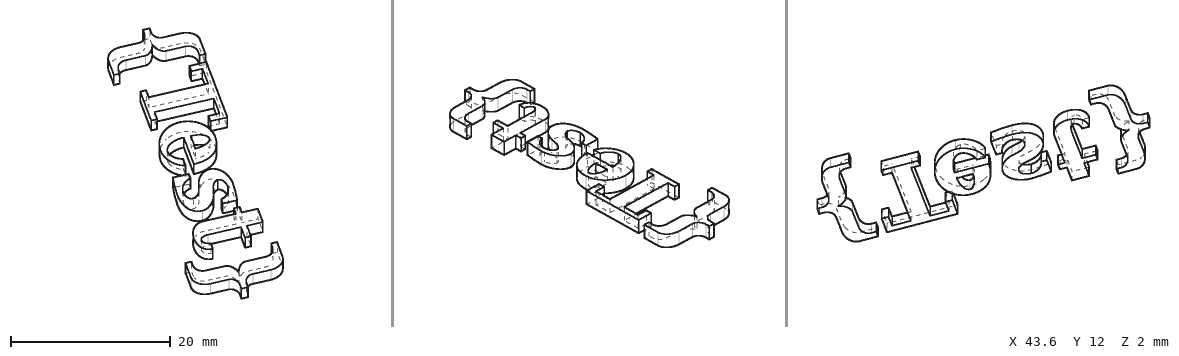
import cadquery as cq


TOTAL_LENGTH = 43.55
THICKNESS = 2.0

BAR = 0.8
CAP_HEIGHT = 9.32
X_HEIGHT = 6.7
OVERSHOOT = 0.25
ROUND_TOP = X_HEIGHT + OVERSHOOT
ROUND_BOTTOM = -OVERSHOOT
INNER_TOP = ROUND_TOP - BAR
INNER_BOTTOM = 0.55
TAIL_HEIGHT = 2.1

T_LEFT = 7.25
E_LEFT = 15.6
S_LEFT = 23.9
SMALL_T_LEFT = 30.85

ELLIPSE_FULLNESS = 0.55
BROAD_FULLNESS = 0.63


def round_turn(path, start, corner, end, fullness):
    """Add a curve from start to end, tangent at both to the lines that meet at corner."""

    def toward_corner(point):
        return tuple(p + fullness * (c - p) for p, c in zip(point, corner))

    return path.bezier([start, toward_corner(start), toward_corner(end), end])


def turn(corner, end, fullness=ELLIPSE_FULLNESS):
    """Describe a round turn for outline()."""
    return {"corner": corner, "end": end, "fullness": fullness}


def outline(left, first, steps):
    """Close an outline measured from the letter's left edge.

    A step is one point for a straight edge, or what turn() returns for a round turn.
    """

    def placed(point):
        return (left + point[0], point[1])

    here = placed(first)
    path = cq.Workplane("XY").moveTo(*here)
    for step in steps:
        if isinstance(step, dict):
            end = placed(step["end"])
            path = round_turn(path, here, placed(step["corner"]), end, step["fullness"])
        else:
            end = placed(step)
            path = path.lineTo(*end)
        here = end
    return path.close()


def plate(closed_outline):
    return closed_outline.extrude(THICKNESS)


def opening_brace():
    height = 12.0
    width = 5.95
    top = 9.6
    middle_y = top - height / 2
    stem_left = 1.87
    stem_right = 4.1
    tip_half_height = 0.45
    tip_straight = 0.65
    tip_flare_end = 1.55
    notch_end = 2.65
    notch_corner = 0.35
    notch_start = 1.35
    outer_turn_x, outer_turn_y = 1.65, 2.05
    inner_turn_x, inner_turn_y = 1.2, 1.3

    arm_top = height / 2
    arm_bottom = arm_top - BAR
    upper_half = plate(outline(0, (0, 0), [
        (0, tip_half_height),
        (tip_straight, tip_half_height),
        turn((stem_left, tip_half_height), (stem_left, tip_flare_end)),
        (stem_left, arm_top - outer_turn_y),
        turn((stem_left, arm_top), (stem_left + outer_turn_x, arm_top)),
        (width, arm_top),
        (width, arm_bottom),
        (stem_right + inner_turn_x, arm_bottom),
        turn((stem_right, arm_bottom), (stem_right, arm_bottom - inner_turn_y)),
        (stem_right, notch_start),
        turn((stem_right, notch_corner), (notch_end, 0)),
    ]))
    whole = upper_half.union(upper_half.mirror("XZ")).clean()
    return whole.translate((0, middle_y, 0))


def closing_brace():
    return opening_brace().mirror("YZ").translate((TOTAL_LENGTH, 0, 0))


def capital_t():
    width = 9.32
    middle = width / 2
    stem_half = 1.25
    foot_half = 2.45
    serif_width = 0.9
    serif_bottom = 7.1
    bar_bottom = CAP_HEIGHT - BAR
    right_half = [
        (foot_half, 0),
        (foot_half, BAR),
        (stem_half, BAR),
        (stem_half, bar_bottom),
        (middle - serif_width, bar_bottom),
        (middle - serif_width, serif_bottom),
        (middle, serif_bottom),
        (middle, CAP_HEIGHT),
    ]
    left_half = [(-x, y) for x, y in reversed(right_half)]
    points = right_half + left_half
    return plate(outline(T_LEFT + middle, points[0], points[1:]))


def small_e():
    width = 7.0
    top_x = 3.5
    left_y = 3.35
    bottom_x = 3.7
    bar_bottom = 3.15
    bar_top = 4.05
    inner_left = 2.53
    eye_right = 4.6
    eye_middle = (inner_left + eye_right) / 2
    inner_bottom_x = 4.1
    tail_left = 5.8
    tail_right = 6.93
    outer_corner_x = 6.4
    inner_corner_x = 5.45

    body = plate(outline(E_LEFT, (inner_left, bar_bottom), [
        (width, bar_bottom),
        turn((width, ROUND_TOP), (top_x, ROUND_TOP), BROAD_FULLNESS),
        turn((0, ROUND_TOP), (0, left_y)),
        turn((0, ROUND_BOTTOM), (bottom_x, ROUND_BOTTOM)),
        turn((outer_corner_x, ROUND_BOTTOM), (tail_right, TAIL_HEIGHT)),
        (tail_left, TAIL_HEIGHT),
        turn((inner_corner_x, INNER_BOTTOM), (inner_bottom_x, INNER_BOTTOM)),
        turn((inner_left, INNER_BOTTOM), (inner_left, bar_bottom)),
    ]))
    eye = plate(outline(E_LEFT, (inner_left, bar_top), [
        (eye_right, bar_top),
        turn((eye_right, INNER_TOP), (eye_middle, INNER_TOP)),
        turn((inner_left, INNER_TOP), (inner_left, bar_top)),
    ]))
    return body.cut(eye)


def small_s():
    width = 6.2

    tail_width = 0.8
    tail_corner_x = 1.05
    lower_inner_bottom_x = 2.6
    lower_inner_right = 3.95
    lower_inner_right_y = 1.5
    lower_outer_right_y = 2.05
    bottom_x = 2.85
    bottom_corner_x = 1.45

    left_y = 4.8
    top_x = 3.1
    top_corner_x = 4.35
    serif_left = 5.05
    serif_right = 5.8
    serif_bottom = 4.85
    serif_corner_x = 4.9
    upper_inner_top_x = 3.3
    upper_inner_left = 1.95
    upper_inner_left_y = 5.3

    spine_lower_right = (2.85, 2.55)
    spine_lower_left = (1.85, 2.85)
    spine_upper_left = (2.9, 4.45)
    spine_upper_right = (3.95, 4.2)
    lower_inner_corner_y = 2.25
    outer_left_corner_y = 3.3
    upper_inner_corner_y = 4.65
    outer_right_corner_y = 3.6

    return plate(outline(S_LEFT, (0, 0), [
        (0, TAIL_HEIGHT),
        (tail_width, TAIL_HEIGHT),
        turn((tail_corner_x, INNER_BOTTOM), (lower_inner_bottom_x, INNER_BOTTOM)),
        turn((lower_inner_right, INNER_BOTTOM), (lower_inner_right, lower_inner_right_y)),
        turn((lower_inner_right, lower_inner_corner_y), spine_lower_right),
        spine_lower_left,
        turn((0, outer_left_corner_y), (0, left_y)),
        turn((0, ROUND_TOP), (top_x, ROUND_TOP)),
        turn((top_corner_x, ROUND_TOP), (serif_right, X_HEIGHT)),
        (serif_right, serif_bottom),
        (serif_left, serif_bottom),
        turn((serif_corner_x, INNER_TOP), (upper_inner_top_x, INNER_TOP)),
        turn((upper_inner_left, INNER_TOP), (upper_inner_left, upper_inner_left_y)),
        turn((upper_inner_left, upper_inner_corner_y), spine_upper_left),
        spine_upper_right,
        turn((width, outer_right_corner_y), (width, lower_outer_right_y)),
        turn((width, ROUND_BOTTOM), (bottom_x, ROUND_BOTTOM), BROAD_FULLNESS),
        turn((bottom_corner_x, ROUND_BOTTOM), (0, 0)),
    ]))


def small_t():
    stem_left = 0.9
    stem_right = 3.2
    top = 8.8
    bar_right = 4.95
    bar_bottom = X_HEIGHT - BAR
    hook_top = 1.55
    hook_left = 4.57
    hook_right = 5.55
    bottom_x = 3.22
    inner_bottom_x = 3.8
    return plate(outline(SMALL_T_LEFT, (0, bar_bottom), [
        (0, X_HEIGHT),
        (stem_left, X_HEIGHT),
        (stem_left, top),
        (stem_right, top),
        (stem_right, X_HEIGHT),
        (bar_right, X_HEIGHT),
        (bar_right, bar_bottom),
        (stem_right, bar_bottom),
        (stem_right, hook_top),
        turn((stem_right, INNER_BOTTOM), (inner_bottom_x, INNER_BOTTOM)),
        turn((hook_left, INNER_BOTTOM), (hook_left, hook_top)),
        (hook_right, hook_top),
        turn((hook_right, ROUND_BOTTOM), (bottom_x, ROUND_BOTTOM), BROAD_FULLNESS),
        turn((stem_left, ROUND_BOTTOM), (stem_left, hook_top)),
        (stem_left, bar_bottom),
    ]))


characters = [opening_brace(), capital_t(), small_e(), small_s(), small_t(), closing_brace()]
result = cq.Compound.makeCompound([character.val() for character in characters])